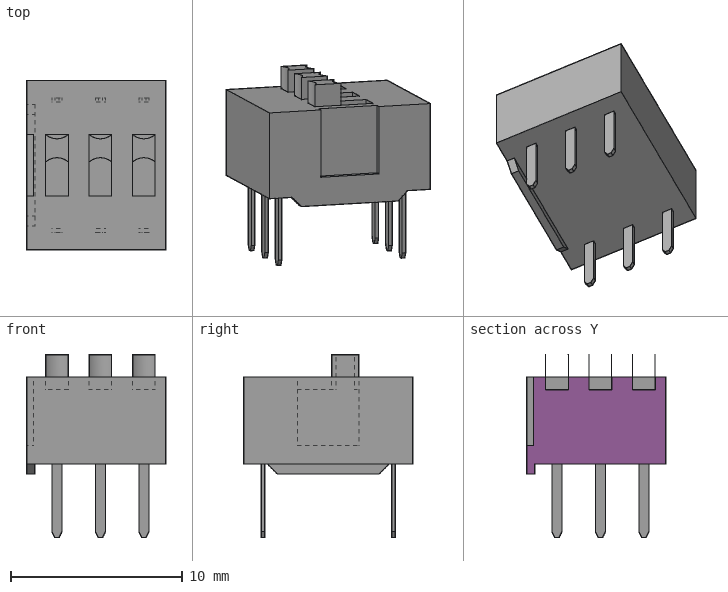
import cadquery as cq
import math


BODY_X = 8.13
BODY_Y = 9.9
BODY_Z = 5.1

PITCH = 2.54
POSITIONS = 3
FIRST_POSITION_INSET = 1.77
FIRST_POSITION_X = -BODY_X / 2 + FIRST_POSITION_INSET
POSITION_XS = [FIRST_POSITION_X + PITCH * i for i in range(POSITIONS)]

SLOT_X = 1.32
SLOT_Y = 3.58
SLOT_DEPTH = 0.75
SLIDER_Y = 1.6
SLIDER_PROJECTION = 1.3
FINGER_RADIUS = 1.0

RECESS_X = 0.39
RECESS_Z = 4.0

FOOT_X = 0.475
FOOT_Z = 0.58
FOOT_TOP_Y = 7.1
FOOT_BOTTOM_Y = FOOT_TOP_Y - 2 * FOOT_Z

PIN_ROW_SPACING = 7.62
PIN_X = 0.6
PIN_Y = 0.22
PIN_LENGTH = 4.3
PIN_TIP_X = 0.25
PIN_TIP_Z = 0.35


def make_foot():
    """Standoff rail with sloping ends, hanging below the -X edge."""
    outline = [
        (-FOOT_TOP_Y / 2, 0),
        (-FOOT_BOTTOM_Y / 2, -FOOT_Z),
        (FOOT_BOTTOM_Y / 2, -FOOT_Z),
        (FOOT_TOP_Y / 2, 0),
    ]
    rail = cq.Workplane("YZ").polyline(outline).close().extrude(FOOT_X)
    return rail.translate((-BODY_X / 2, 0, 0))


def make_side_recess():
    """Cutter for the shallow recess in the -X side."""
    block = cq.Workplane("XY").box(RECESS_X, SLOT_Y, RECESS_Z, centered=(False, True, False))
    return block.translate((-BODY_X / 2, 0, BODY_Z - RECESS_Z))


def make_slot(x):
    """Cutter for one actuator slot."""
    block = cq.Workplane("XY").box(SLOT_X, SLOT_Y, SLOT_DEPTH, centered=(True, True, False))
    return block.translate((x, 0, BODY_Z - SLOT_DEPTH))


def make_slider(x):
    """Slider at the +Y end of its slot, with hollow front and back faces."""
    half_x = SLOT_X / 2
    back_y = SLOT_Y / 2
    front_y = back_y - SLIDER_Y
    hollow = FINGER_RADIUS - math.sqrt(FINGER_RADIUS**2 - half_x**2)
    profile = (
        cq.Workplane("XY")
        .moveTo(-half_x, front_y)
        .threePointArc((0, front_y + hollow), (half_x, front_y))
        .lineTo(half_x, back_y)
        .threePointArc((0, back_y - hollow), (-half_x, back_y))
        .close()
    )
    slider = profile.extrude(SLOT_DEPTH + SLIDER_PROJECTION)
    return slider.translate((x, 0, BODY_Z - SLOT_DEPTH))


def make_pin(x, y):
    """Flat pin below the housing, tapering to a blunt tip."""
    shoulder_z = -PIN_LENGTH + PIN_TIP_Z
    outline = [
        (-PIN_X / 2, 0),
        (-PIN_X / 2, shoulder_z),
        (-PIN_TIP_X / 2, -PIN_LENGTH),
        (PIN_TIP_X / 2, -PIN_LENGTH),
        (PIN_X / 2, shoulder_z),
        (PIN_X / 2, 0),
    ]
    pin = cq.Workplane("XZ").polyline(outline).close().extrude(PIN_Y / 2, both=True)
    return pin.translate((x, y, 0))


result = cq.Workplane("XY").box(BODY_X, BODY_Y, BODY_Z, centered=(True, True, False))
result = result.union(make_foot()).cut(make_side_recess())

for position_x in POSITION_XS:
    result = result.cut(make_slot(position_x)).union(make_slider(position_x))
    for pin_y in (-PIN_ROW_SPACING / 2, PIN_ROW_SPACING / 2):
        result = result.union(make_pin(position_x, pin_y))